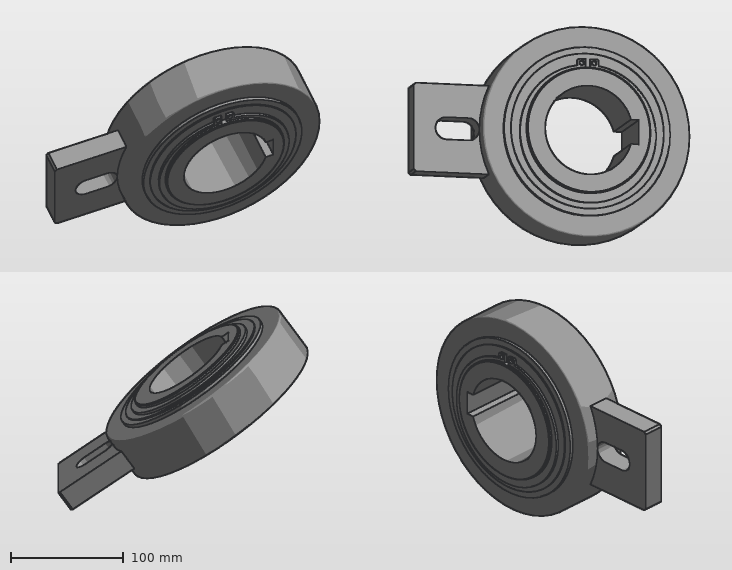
import cadquery as cq

housing_radius = 95.0
housing_width = 44.0
housing_edge_fillet = 1.8

cover_radius = 76.0
cover_width = 50.5
seal_radius = 70.0
seal_width = 53.0
hub_radius = 56.8
hub_width = 64.0
hub_edge_chamfer = 1.0

bore_radius = 40.0
key_width = 22.0
key_bottom = 45.8

arm_reach = 250.0 - housing_radius
arm_height = 80.0
arm_thickness = 20.0
arm_corner_chamfer = 2.0
slot_width = 20.0
slot_length = 40.0
slot_center = housing_radius + slot_length / 2

snap_radius = 62.2
snap_drop = 2.8
snap_thickness = 2.5
snap_gap = 4.5
ear_width = 7.5
ear_top = 64.5
ear_corner_chamfer = 1.2
ear_hole_diameter = 4.0
ear_hole_spacing = 11.5
ear_hole_height = 61.0


def disc(radius, width):
    """A disc around the X axis, centered on X = 0."""
    return cq.Workplane("YZ", origin=(-width / 2, 0, 0)).circle(radius).extrude(width)


def make_snap_ring():
    """The snap ring lying against the -X seal face."""
    face = cq.Workplane("YZ", origin=(-seal_width / 2, 0, 0))
    ring = face.center(0, -snap_drop).circle(snap_radius).extrude(-snap_thickness)
    ears_width = snap_gap + 2 * ear_width
    ears = (
        face.center(0, ear_top / 2)
        .rect(ears_width, ear_top)
        .extrude(-snap_thickness)
        .edges("|X and >Z")
        .chamfer(ear_corner_chamfer)
    )
    gap = face.center(0, ear_top / 2).rect(snap_gap, ear_top).extrude(-snap_thickness)
    holes = (
        face.pushPoints([(side * ear_hole_spacing / 2, ear_hole_height) for side in (-1, 1)])
        .circle(ear_hole_diameter / 2)
        .extrude(-snap_thickness)
    )
    return ring.union(ears).cut(gap).cut(holes)


def make_arm():
    """The torque arm, starting at the part's axis, with its slot cut through."""
    arm = (
        cq.Workplane("XY")
        .box(arm_thickness, arm_reach, arm_height)
        .translate((0, -arm_reach / 2, 0))
        .edges("|X and <Y")
        .chamfer(arm_corner_chamfer)
    )
    slot = (
        cq.Workplane("YZ", origin=(-arm_thickness / 2, 0, 0))
        .center(-slot_center, 0)
        .slot2D(slot_length, slot_width)
        .extrude(arm_thickness)
    )
    return arm.cut(slot)


housing = disc(housing_radius, housing_width).edges().fillet(housing_edge_fillet)
hub = disc(hub_radius, hub_width).edges().chamfer(hub_edge_chamfer)
body = housing.union(disc(cover_radius, cover_width)).union(disc(seal_radius, seal_width))

snap_ring = make_snap_ring()
body = body.union(snap_ring).union(snap_ring.mirror("YZ")).union(hub)

body = body.union(make_arm())

keyway = cq.Workplane("XY").box(hub_width, key_bottom, key_width).translate((0, key_bottom / 2, 0))
result = body.cut(disc(bore_radius, hub_width)).cut(keyway)